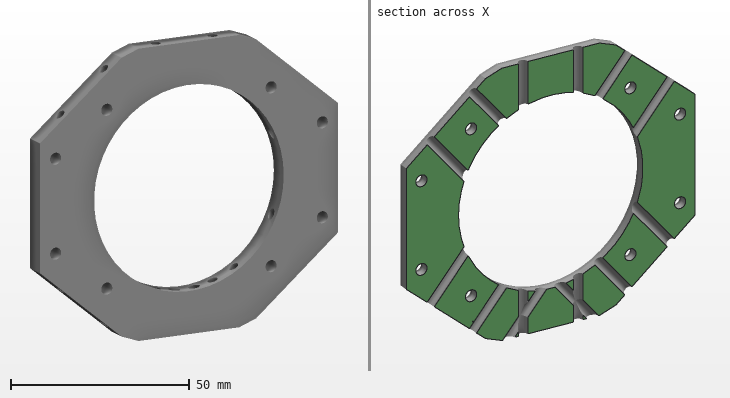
import cadquery as cq
import math

thickness = 6.0
width = 94.36
height = 85.0
bore_diameter = 60.0
slope_angle = 40.0
corner_angle = slope_angle / 2
side_edge_half = 18.84
flat_edge_half = 15.95

mount_hole_diameter = 3.5
inner_mount = (26.0, 26.0)
outer_mount = (42.2, 13.8)

rim_hole_diameter = 2.9
rim_hole_spacing = 18.0
slope_pair_offset = 4.6
cross_hole_y = 3.15

half_thickness = thickness / 2
half_width = width / 2
half_height = height / 2
bore_radius = bore_diameter / 2
slope_tangent = math.tan(math.radians(slope_angle))
corner_tangent = math.tan(math.radians(corner_angle))


def mirrored(y, z):
    """The four mirror images of a point about the Y and Z axes."""
    return [(y, z), (-y, z), (-y, -z), (y, -z)]


def make_plate():
    slope_height = side_edge_half + half_width * slope_tangent
    corner_height = half_height + flat_edge_half * corner_tangent
    knee_y = (slope_height - corner_height) / (slope_tangent - corner_tangent)
    knee_z = slope_height - knee_y * slope_tangent

    quarter = [(half_width, side_edge_half), (knee_y, knee_z), (flat_edge_half, half_height)]
    upper = quarter + [(-y, z) for y, z in reversed(quarter)]
    lower = [(-y, -z) for y, z in upper]
    plate = cq.Workplane("YZ").polyline(upper + lower).close().extrude(half_thickness, both=True)
    bore = cq.Workplane("YZ").circle(bore_radius).extrude(half_thickness, both=True)
    return plate.cut(bore)


def mount_holes():
    points = mirrored(*inner_mount) + mirrored(*outer_mount)
    holes = cq.Workplane("YZ").pushPoints(points).circle(mount_hole_diameter / 2)
    return holes.extrude(half_thickness, both=True)


def rim_hole(angle, offset):
    """A cutter running outward from inside the bore.

    The angle turns its axis from +Z towards +Y; the offset shifts the axis
    sideways from the bore centre, towards +Y when the angle is zero.
    """
    turn = math.radians(angle)
    axis = cq.Vector(0, math.sin(turn), math.cos(turn))
    sideways = cq.Vector(0, math.cos(turn), -math.sin(turn))
    return cq.Workplane(cq.Solid.makeCylinder(rim_hole_diameter / 2, width, sideways * offset, axis))


def rim_pair(angle, centre_offset):
    half_spacing = rim_hole_spacing / 2
    return [rim_hole(angle, centre_offset + shift) for shift in (-half_spacing, half_spacing)]


def rim_holes():
    cutters = rim_pair(0, 0) + rim_pair(180, 0)

    for side in (-1, 1):
        cutters += rim_pair(side * slope_angle, side * slope_pair_offset)
        cutters += rim_pair(180 - side * slope_angle, -side * slope_pair_offset)

    position_angle = math.degrees(math.asin(cross_hole_y / bore_radius))
    cross_offset = bore_radius * math.sin(math.radians(slope_angle - position_angle))
    for side in (-1, 1):
        cutters.append(rim_hole(180 - side * slope_angle, side * cross_offset))
    return cutters


body = make_plate().cut(mount_holes())
for cutter in rim_holes():
    body = body.cut(cutter)

result = body.solids()